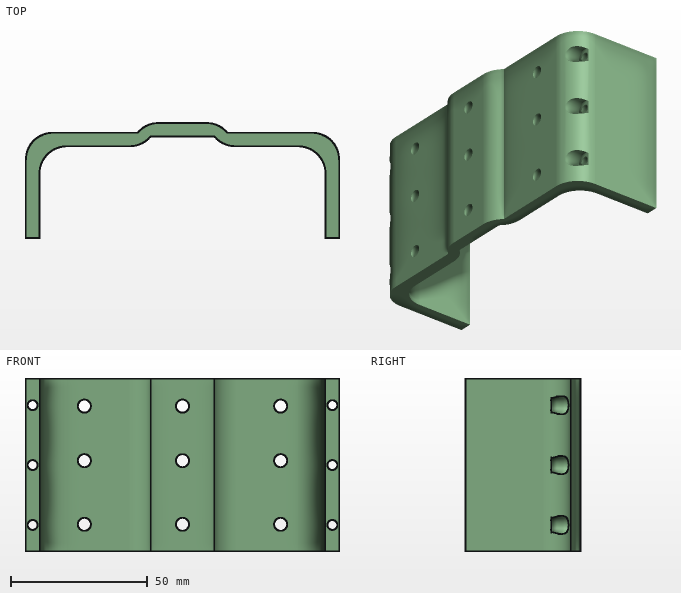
import cadquery as cq
import math

width = 114.8
depth = 42.2
height = 63.3
thickness = 5.0
bend_radius = 10.0

step = 3.6
outer_step_half_width = 16.4
inner_step_half_width = 11.7

web_hole_diameter = 4.7
web_hole_spacing = 35.9
web_hole_heights = [-21.7, 1.6, 21.6]

screw_diameter = 3.6
screw_spacing = 21.9
counterbore_diameter = 6.7
counterbore_floor_depth = 10.8

half_width = width / 2
inner_half_width = half_width - thickness
web_outer = depth - step
web_inner = web_outer - thickness
channel_inner = depth - thickness
flange_center = half_width - thickness / 2
step_run = math.sqrt(2 * bend_radius * step - step**2)


def step_arc_middle(tangent_x, tangent_y, direction):
    """Point halfway along a step arc; direction is +1 for outer arcs, -1 for inner arcs."""
    half_angle = math.acos(1 - step / bend_radius) / 2
    x = tangent_x + direction * bend_radius * math.sin(half_angle)
    y = tangent_y - direction * bend_radius * (1 - math.cos(half_angle))
    return x, y


def region_in_front_of_face(half_span, web_y, raised_y, shoulder, crown, arc_middle):
    """Solid from the open front (Y = 0) back to one face of the bent sheet."""
    corner = bend_radius * (1 - math.sqrt(0.5))
    middle_x, middle_y = arc_middle
    return (
        cq.Workplane("XY", origin=(0, 0, -height / 2))
        .moveTo(-half_span, 0)
        .lineTo(half_span, 0)
        .lineTo(half_span, web_y - bend_radius)
        .threePointArc((half_span - corner, web_y - corner), (half_span - bend_radius, web_y))
        .lineTo(shoulder, web_y)
        .threePointArc((middle_x, middle_y), (crown, raised_y))
        .lineTo(-crown, raised_y)
        .threePointArc((-middle_x, middle_y), (-shoulder, web_y))
        .lineTo(bend_radius - half_span, web_y)
        .threePointArc((corner - half_span, web_y - corner), (-half_span, web_y - bend_radius))
        .close()
        .extrude(height)
    )


def cylinder_along_y(x, z, diameter, start_y, length):
    return cq.Workplane(cq.Solid.makeCylinder(
        diameter / 2, length, cq.Vector(x, start_y, z), cq.Vector(0, 1, 0)
    ))


outer_crown = outer_step_half_width - step_run
inner_shoulder = inner_step_half_width + step_run
outer_region = region_in_front_of_face(
    half_width, web_outer, depth, outer_step_half_width, outer_crown,
    step_arc_middle(outer_crown, depth, 1),
)
inner_region = region_in_front_of_face(
    inner_half_width, web_inner, channel_inner, inner_shoulder, inner_step_half_width,
    step_arc_middle(inner_shoulder, web_inner, -1),
)
result = outer_region.cut(inner_region)

for x in (-web_hole_spacing, 0, web_hole_spacing):
    for z in web_hole_heights:
        result = result.cut(cylinder_along_y(x, z, web_hole_diameter, 0, depth))

counterbore_floor = depth - counterbore_floor_depth
for x in (-flange_center, flange_center):
    for z in (-screw_spacing, 0, screw_spacing):
        result = result.cut(cylinder_along_y(x, z, screw_diameter, 0, depth))
        result = result.cut(
            cylinder_along_y(x, z, counterbore_diameter, counterbore_floor, counterbore_floor_depth)
        )